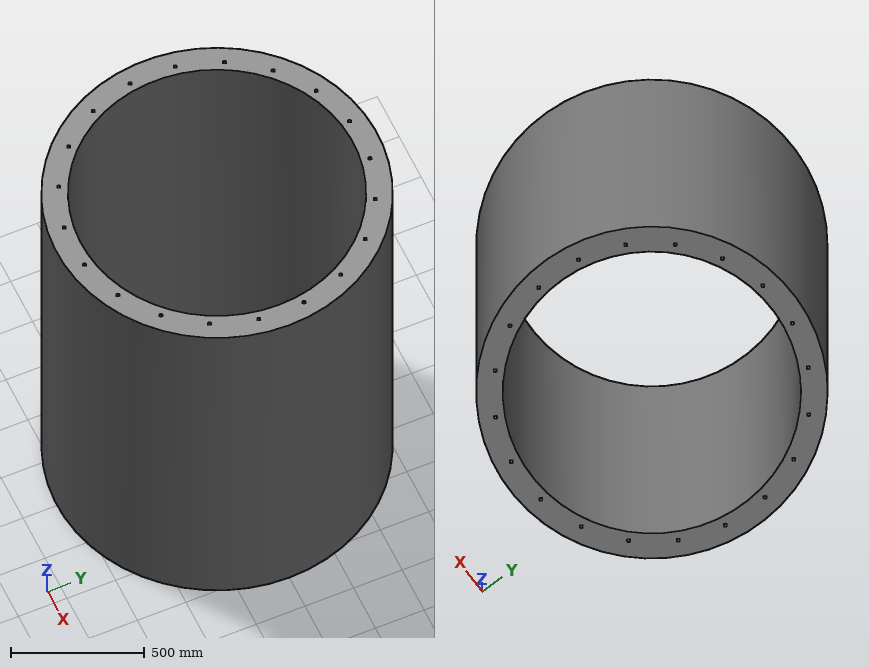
import cadquery as cq

outer_diameter = 1320.0
inner_diameter = 1120.0
height = 1680.0

hole_diameter = 12.0
hole_count = 20
bolt_circle_diameter = 1190.0
hole_pitch_angle = 360.0 / hole_count
first_hole_angle = hole_pitch_angle / 2


def tube():
    """Plain tube standing on Z = 0 and centred on the Z axis."""
    return (
        cq.Workplane("XY")
        .circle(outer_diameter / 2)
        .circle(inner_diameter / 2)
        .extrude(height)
    )


def bolt_holes():
    """Cutters for the ring of holes running the full height of the wall."""
    return (
        cq.Workplane("XY")
        .polarArray(bolt_circle_diameter / 2, first_hole_angle, 360, hole_count)
        .circle(hole_diameter / 2)
        .extrude(height)
    )


result = tube().cut(bolt_holes())